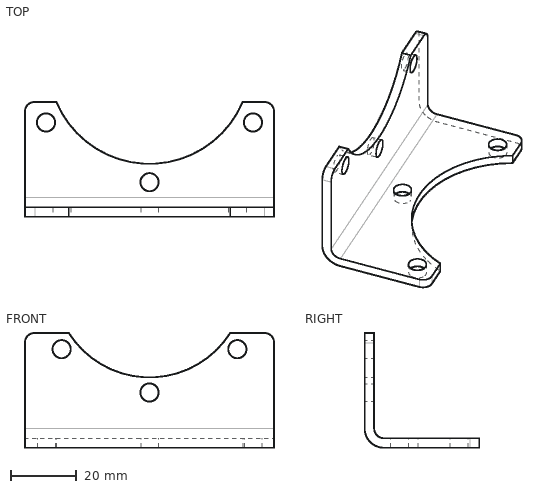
import cadquery as cq
import math

length = 76.0
flange_height = 35.0
thickness = 3.0
inner_bend_radius = 3.0
outer_bend_radius = inner_bend_radius + thickness
corner_radius = 3.0
hole_diameter = 5.5

upright_cutout_radius = 29.1
upright_cutout_center = 50.6
upright_hole_circle_radius = 33.75
upright_hole_angle = 52.5

base_cutout_radius = 30.8
base_cutout_center = 47.0
base_hole_circle_radius = 36.4
base_hole_angle = 60.0


def bent_sheet():
    """L-shaped sheet with a rounded bend, centred along X."""
    outer_leg = (
        cq.Workplane("YZ")
        .rect(flange_height, flange_height, centered=False)
        .extrude(length / 2, both=True)
        .edges("|X and <Y and <Z")
        .fillet(outer_bend_radius)
    )
    inner_space = (
        cq.Workplane("YZ")
        .center(thickness, thickness)
        .rect(flange_height, flange_height, centered=False)
        .extrude(length / 2, both=True)
        .edges("|X and <Y and <Z")
        .fillet(inner_bend_radius)
    )
    return outer_leg.cut(inner_space)


def flange_cutter(plane, depth, cutout_center, cutout_radius, hole_circle_radius, hole_angle):
    """Cutout and holes, the outer holes at +/- hole_angle from the middle one."""
    holes = []
    for angle in (-hole_angle, 0, hole_angle):
        radians = math.radians(angle)
        x = hole_circle_radius * math.sin(radians)
        height = cutout_center - hole_circle_radius * math.cos(radians)
        holes.append((x, height))
    cutout = cq.Workplane(plane).center(0, cutout_center).circle(cutout_radius).extrude(depth)
    drills = cq.Workplane(plane).pushPoints(holes).circle(hole_diameter / 2).extrude(depth)
    return cutout.union(drills)


bracket = bent_sheet()

bracket = bracket.edges("|Y and >Z").fillet(corner_radius)
bracket = bracket.edges("|Z and >Y").fillet(corner_radius)

upright_cutter = flange_cutter(
    "XZ", -thickness, upright_cutout_center, upright_cutout_radius,
    upright_hole_circle_radius, upright_hole_angle,
)
base_cutter = flange_cutter(
    "XY", thickness, base_cutout_center, base_cutout_radius,
    base_hole_circle_radius, base_hole_angle,
)
result = bracket.cut(upright_cutter).cut(base_cutter)